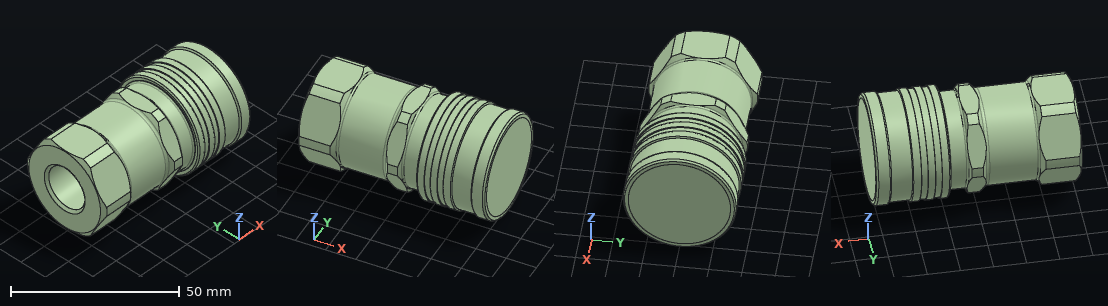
import cadquery as cq
import math

LENGTH = 62.5

BARREL_R = 14.75
HEX_ACROSS_FLATS = 29.95
HEX_CORNER_R = 16.4
FACE_R = 14.75
LEAD_CHAMFER = 1.05

PORT_HEX_END = 11.3
MID_HEX_START = 30.2
MID_HEX_END = 33.55

PORT_TAPER = 45.0
PORT_ROOT_R = 1.0
MID_FRONT_TAPER = 45.0
MID_FRONT_ROOT_R = 1.5
MID_REAR_TAPER = 60.0
MID_REAR_ROOT_R = 0.75

FLARE_START = 39.55
FLARE_FILLET = 0.6
SPIGOT_R = BARREL_R + FLARE_FILLET

PORT_R = 7.45
PORT_MOUTH_R = 8.4
PORT_DEPTH = 2 * PORT_R

SLEEVE_START = 39.95
SLEEVE_R = 17.0
SLEEVE_CHAMFER = 0.5
GROOVE_R = 16.6
GROOVE_WIDTH = 2.0
RIB_WIDTH = 2.25
GROOVE_COUNT = 2
FIRST_GROOVE_START = 42.6
RECESS_R = 16.45
RECESS_START = 51.3
RECESS_FRONT_TAPER = 0.25
RECESS_END = 57.9
RECESS_REAR_TAPER = 0.5
END_CHAMFER_LENGTH = 0.6


def taper_with_root(hex_end, side, angle_deg, root_r):
    """Taper from a hexagon corner down to the barrel, blended by a concave root fillet.

    side is +1 if the taper runs towards +X from hex_end, and -1 towards -X.
    Returns the fillet's end on the cone, its middle, and its end on the barrel.
    """
    angle = math.radians(angle_deg)
    tangent = root_r * math.tan(angle / 2)
    corner_x = hex_end + side * (HEX_CORNER_R - BARREL_R) / math.tan(angle)
    barrel_x = corner_x + side * tangent
    on_cone = (corner_x - side * tangent * math.cos(angle), BARREL_R + tangent * math.sin(angle))
    middle = (
        barrel_x - side * root_r * math.sin(angle / 2),
        BARREL_R + root_r * (1 - math.cos(angle / 2)),
    )
    return on_cone, middle, (barrel_x, BARREL_R)


def revolve_about_x(profile):
    return profile.close().revolve(360, (0, 0, 0), (1, 0, 0))


def make_turned_body():
    port_cone, port_mid, port_barrel = taper_with_root(PORT_HEX_END, 1, PORT_TAPER, PORT_ROOT_R)
    front_cone, front_mid, front_barrel = taper_with_root(
        MID_HEX_START, -1, MID_FRONT_TAPER, MID_FRONT_ROOT_R
    )
    rear_cone, rear_mid, rear_barrel = taper_with_root(
        MID_HEX_END, 1, MID_REAR_TAPER, MID_REAR_ROOT_R
    )
    flare_mid = (
        FLARE_START + FLARE_FILLET * math.sin(math.pi / 4),
        BARREL_R + FLARE_FILLET * (1 - math.cos(math.pi / 4)),
    )
    profile = (
        cq.Workplane("XZ")
        .moveTo(0, 0)
        .lineTo(0, FACE_R)
        .lineTo(LEAD_CHAMFER, HEX_CORNER_R)
        .lineTo(PORT_HEX_END, HEX_CORNER_R)
        .lineTo(*port_cone)
        .threePointArc(port_mid, port_barrel)
        .lineTo(*front_barrel)
        .threePointArc(front_mid, front_cone)
        .lineTo(MID_HEX_START, HEX_CORNER_R)
        .lineTo(MID_HEX_END, HEX_CORNER_R)
        .lineTo(*rear_cone)
        .threePointArc(rear_mid, rear_barrel)
        .lineTo(FLARE_START, BARREL_R)
        .threePointArc(flare_mid, (FLARE_START + FLARE_FILLET, SPIGOT_R))
        .lineTo(LENGTH, SPIGOT_R)
        .lineTo(LENGTH, 0)
    )
    return revolve_about_x(profile)


def make_flats_cutter():
    """Everything outside the hexagon, over the two hexagons; corners point along +Y and -Y."""
    across_corners = HEX_ACROSS_FLATS / math.cos(math.pi / 6)
    return (
        cq.Workplane("YZ")
        .circle(2 * HEX_CORNER_R)
        .polygon(6, across_corners)
        .extrude(FLARE_START)
    )


def make_port():
    mouth_chamfer = PORT_MOUTH_R - PORT_R
    profile = (
        cq.Workplane("XZ")
        .moveTo(0, 0)
        .lineTo(0, PORT_MOUTH_R)
        .lineTo(mouth_chamfer, PORT_R)
        .lineTo(PORT_DEPTH, PORT_R)
        .lineTo(PORT_DEPTH, 0)
    )
    return revolve_about_x(profile)


def make_body():
    return make_turned_body().cut(make_flats_cutter()).cut(make_port())


def make_sleeve():
    profile = (
        cq.Workplane("XZ")
        .moveTo(SLEEVE_START, SPIGOT_R)
        .lineTo(SLEEVE_START, SLEEVE_R - SLEEVE_CHAMFER)
        .lineTo(SLEEVE_START + SLEEVE_CHAMFER, SLEEVE_R)
    )
    for i in range(GROOVE_COUNT):
        groove_start = FIRST_GROOVE_START + i * (GROOVE_WIDTH + RIB_WIDTH)
        groove_end = groove_start + GROOVE_WIDTH
        profile = (
            profile.lineTo(groove_start, SLEEVE_R)
            .lineTo(groove_start, GROOVE_R)
            .lineTo(groove_end, GROOVE_R)
            .lineTo(groove_end, SLEEVE_R)
        )
    profile = (
        profile.lineTo(RECESS_START, SLEEVE_R)
        .lineTo(RECESS_START + RECESS_FRONT_TAPER, RECESS_R)
        .lineTo(RECESS_END, RECESS_R)
        .lineTo(RECESS_END + RECESS_REAR_TAPER, SLEEVE_R)
        .lineTo(LENGTH - END_CHAMFER_LENGTH, SLEEVE_R)
        .lineTo(LENGTH, SLEEVE_R - SLEEVE_CHAMFER)
        .lineTo(LENGTH, SPIGOT_R)
    )
    return revolve_about_x(profile)


body = make_body().solids()
sleeve = make_sleeve()

result = cq.Compound.makeCompound([body.val(), sleeve.val()])